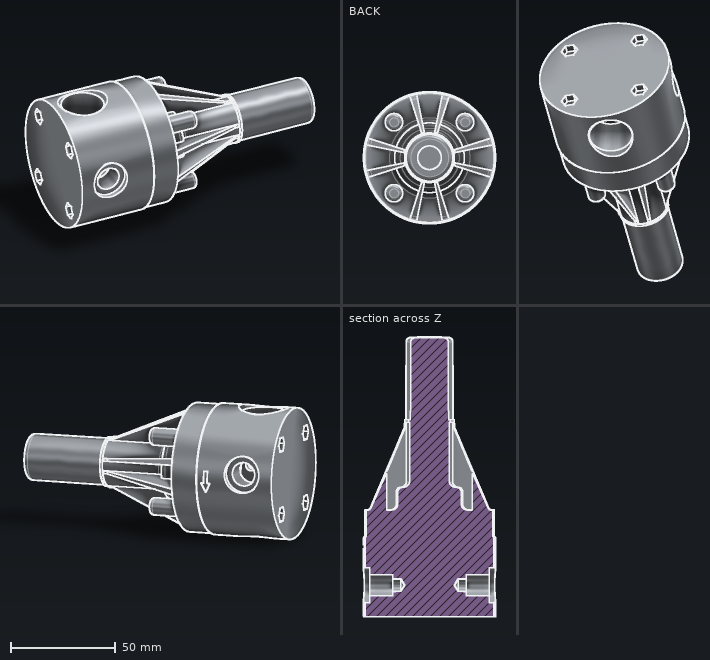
import cadquery as cq
import math


TOTAL_LENGTH = 134.62
BODY_RADIUS = 63.5 / 2
BODY_END = 38.1
SEAM_CHAMFER = 0.55
FLANGE_RADIUS = BODY_RADIUS - SEAM_CHAMFER
FLANGE_END = 51.45
FLANGE_EDGE_FILLET = 0.5
TUBE_RADIUS = 11.68
HUB_FILLET = 2.54
HUB_RADIUS = TUBE_RADIUS + 2 * HUB_FILLET
TUBE_START = 64.9
COLLAR_RADIUS = 11.95
COLLAR_START = 93.4
COLLAR_END = 94.7
STEM_BASE_RADIUS = 22.73 / 2
STEM_TOP_RADIUS = 11.25
STEM_EDGE_FILLET = 2.2
STEM_TIP_RADIUS = 11.38 / 2
STEM_TIP_HEIGHT = 0.4
STEM_END = TOTAL_LENGTH - STEM_TIP_HEIGHT

RIB_INNER_ANGLE = 11.5
RIB_OUTER_ANGLE = 17.7
RIB_TOP = 92.8
RIB_SLOPE_TOP = 90.7
RIB_TIP_RADIUS = 12.4
RIB_BASE_RADIUS = 29.4
RIB_FOOT_FILLET = 1.27
RIB_EMBED = 1.0
RIB_ROOT_RADIUS = TUBE_RADIUS - RIB_EMBED

SCREW_CIRCLE_RADIUS = 48.26 / 2
SCREW_RADIUS = 8.38 / 2
SCREW_END = 66.65
SCREW_END_FILLET = 2.0
SOCKET_ACROSS_FLATS = 6.8
SOCKET_DEPTH = 4.0

PORT_Y = 15.24
MAIN_MOUTH_RADIUS = 24.38 / 2
MAIN_BORE_RADIUS = 20.7 / 2
MAIN_FLOOR_RADIUS = 17.8 / 2
MAIN_FLOOR_Z = 12.7
COUNTERSINK_ANGLE = 82
SIDE_PORT_Z = 3.65
SIDE_MOUTH_RADIUS = 17.55 / 2
SIDE_MOUTH_DEPTH = 3.0
SIDE_BORE_RADIUS = 11.38 / 2
SIDE_BORE_DEPTH = 14.0
PILOT_RADIUS = 5.84 / 2
PILOT_DEPTH = 18.0
DRILL_POINT_ANGLE = 118

ARROW_Y = 33.7
ARROW_TAIL_Z = 4.4
ARROW_HEAD_Z = -1.4
ARROW_TIP_Z = -5.9
ARROW_SHAFT_WIDTH = 1.8
ARROW_HEAD_WIDTH = 4.4
ARROW_DEPTH = 0.5

QUARTER_TURNS = (0, 90, 180, 270)
ARC_MIDDLE = math.sqrt(0.5)


def revolve_about_y(profile):
    return profile.close().revolve(360, (0, 0, 0), (0, 1, 0))


def make_turned_body():
    """Body, flange, hub, tube, collar and stem as one turned profile."""
    hub_foot = FLANGE_END + HUB_FILLET
    hub_shoulder = TUBE_START - 2 * HUB_FILLET
    step_middle = TUBE_RADIUS + HUB_FILLET
    near = 1 - ARC_MIDDLE
    profile = (
        cq.Workplane("XY")
        .lineTo(BODY_RADIUS, 0)
        .lineTo(BODY_RADIUS, BODY_END)
        .lineTo(FLANGE_RADIUS, BODY_END + SEAM_CHAMFER)
        .lineTo(FLANGE_RADIUS, FLANGE_END - FLANGE_EDGE_FILLET)
        .threePointArc(
            (FLANGE_RADIUS - near * FLANGE_EDGE_FILLET, FLANGE_END - near * FLANGE_EDGE_FILLET),
            (FLANGE_RADIUS - FLANGE_EDGE_FILLET, FLANGE_END),
        )
        .lineTo(HUB_RADIUS + HUB_FILLET, FLANGE_END)
        .threePointArc(
            (HUB_RADIUS + near * HUB_FILLET, FLANGE_END + near * HUB_FILLET),
            (HUB_RADIUS, hub_foot),
        )
        .lineTo(HUB_RADIUS, hub_shoulder)
        .threePointArc(
            (HUB_RADIUS - near * HUB_FILLET, hub_shoulder + ARC_MIDDLE * HUB_FILLET),
            (step_middle, hub_shoulder + HUB_FILLET),
        )
        .threePointArc(
            (TUBE_RADIUS + near * HUB_FILLET, TUBE_START - ARC_MIDDLE * HUB_FILLET),
            (TUBE_RADIUS, TUBE_START),
        )
        .lineTo(TUBE_RADIUS, COLLAR_START)
        .lineTo(COLLAR_RADIUS, COLLAR_START)
        .lineTo(COLLAR_RADIUS, COLLAR_END)
        .lineTo(STEM_BASE_RADIUS, COLLAR_END)
        .lineTo(STEM_TOP_RADIUS, STEM_END - STEM_EDGE_FILLET)
        .threePointArc(
            (STEM_TOP_RADIUS - near * STEM_EDGE_FILLET, STEM_END - near * STEM_EDGE_FILLET),
            (STEM_TOP_RADIUS - STEM_EDGE_FILLET, STEM_END),
        )
        .lineTo(STEM_TIP_RADIUS, STEM_END)
        .lineTo(STEM_TIP_RADIUS, TOTAL_LENGTH)
        .lineTo(0, TOTAL_LENGTH)
    )
    return revolve_about_y(profile)


def make_rib():
    """One rib: a side profile turned through the small angle between its faces."""
    slope = math.atan2(RIB_BASE_RADIUS - RIB_TIP_RADIUS, RIB_SLOPE_TOP - FLANGE_END)
    turn = math.pi / 2 - slope
    tangent = RIB_FOOT_FILLET * math.tan(turn / 2)
    foot_start = (RIB_BASE_RADIUS - tangent * math.sin(slope), FLANGE_END + tangent * math.cos(slope))
    foot_end = (RIB_BASE_RADIUS + tangent, FLANGE_END)
    half_turn = turn / 2
    foot_middle = (
        foot_end[0] - RIB_FOOT_FILLET * math.sin(half_turn),
        FLANGE_END + RIB_FOOT_FILLET * (1 - math.cos(half_turn)),
    )
    overlap_y = FLANGE_END - RIB_EMBED
    profile = (
        cq.Workplane("XY")
        .moveTo(RIB_ROOT_RADIUS, overlap_y)
        .lineTo(RIB_ROOT_RADIUS, RIB_TOP)
        .lineTo(RIB_TIP_RADIUS, RIB_TOP)
        .lineTo(RIB_TIP_RADIUS, RIB_SLOPE_TOP)
        .lineTo(*foot_start)
        .threePointArc(foot_middle, foot_end)
        .lineTo(foot_end[0], overlap_y)
        .close()
    )
    wedge = profile.revolve(RIB_OUTER_ANGLE - RIB_INNER_ANGLE, (0, 0, 0), (0, 1, 0))
    return wedge.rotate((0, 0, 0), (0, 1, 0), RIB_INNER_ANGLE)


def add_ribs(part):
    rib = make_rib()
    for pair in (rib, rib.mirror("XY")):
        for angle in QUARTER_TURNS:
            part = part.union(pair.rotate((0, 0, 0), (0, 1, 0), angle))
    return part


def at_screws(shape):
    """Four copies of a shape on the Y axis, moved onto the screw circle."""
    reach = SCREW_CIRCLE_RADIUS * ARC_MIDDLE
    return [shape.translate((sx * reach, 0, sz * reach)) for sx in (-1, 1) for sz in (-1, 1)]


def add_screws(part):
    screw = (
        cq.Workplane("XZ", origin=(0, BODY_END, 0))
        .circle(SCREW_RADIUS)
        .extrude(BODY_END - SCREW_END)
        .faces(">Y")
        .edges()
        .fillet(SCREW_END_FILLET)
    )
    socket = (
        cq.Workplane("XZ")
        .polygon(6, SOCKET_ACROSS_FLATS / math.cos(math.pi / 6))
        .extrude(-SOCKET_DEPTH)
    )
    for copy in at_screws(screw):
        part = part.union(copy)
    for copy in at_screws(socket):
        part = part.cut(copy)
    return part


def cut_main_ports(part):
    """Countersunk, tapered ports on +Z and -Z."""
    flare = math.tan(math.radians(COUNTERSINK_ANGLE / 2))
    countersink_end = BODY_RADIUS - (MAIN_MOUTH_RADIUS - MAIN_BORE_RADIUS) / flare
    clearance = 1
    port = (
        cq.Workplane("XZ")
        .moveTo(0, MAIN_FLOOR_Z)
        .lineTo(MAIN_FLOOR_RADIUS, MAIN_FLOOR_Z)
        .lineTo(MAIN_BORE_RADIUS, countersink_end)
        .lineTo(MAIN_MOUTH_RADIUS + clearance * flare, BODY_RADIUS + clearance)
        .lineTo(0, BODY_RADIUS + clearance)
        .close()
        .revolve(360, (0, 0, 0), (0, 1, 0))
        .translate((0, PORT_Y, 0))
    )
    return part.cut(port).cut(port.mirror("XY"))


def side_drill(radius, z, depth):
    return (
        cq.Workplane("YZ", origin=(-BODY_RADIUS, PORT_Y, z))
        .circle(radius)
        .extrude(depth)
    )


def cut_side_ports(part):
    """Stepped ports on -X and +X, each with an eccentric pilot hole ending in a drill point."""
    pilot_z = SIDE_PORT_Z + SIDE_BORE_RADIUS - PILOT_RADIUS
    point_length = PILOT_RADIUS / math.tan(math.radians(DRILL_POINT_ANGLE / 2))
    drill_point = cq.Workplane(
        cq.Solid.makeCone(
            PILOT_RADIUS,
            0,
            point_length,
            cq.Vector(PILOT_DEPTH - BODY_RADIUS, PORT_Y, pilot_z),
            cq.Vector(1, 0, 0),
        )
    )
    port = (
        side_drill(SIDE_MOUTH_RADIUS, SIDE_PORT_Z, SIDE_MOUTH_DEPTH)
        .union(side_drill(SIDE_BORE_RADIUS, SIDE_PORT_Z, SIDE_BORE_DEPTH))
        .union(side_drill(PILOT_RADIUS, pilot_z, PILOT_DEPTH))
        .union(drill_point)
    )
    return part.cut(port).cut(port.mirror("YZ"))


def cut_flow_arrow(part):
    """Shallow arrow on the -X side, pointing to -Z."""
    half_shaft = ARROW_SHAFT_WIDTH / 2
    half_head = ARROW_HEAD_WIDTH / 2
    arrow = (
        cq.Workplane("YZ", origin=(-BODY_RADIUS, ARROW_Y, 0))
        .polyline(
            [
                (-half_shaft, ARROW_TAIL_Z),
                (half_shaft, ARROW_TAIL_Z),
                (half_shaft, ARROW_HEAD_Z),
                (half_head, ARROW_HEAD_Z),
                (0, ARROW_TIP_Z),
                (-half_head, ARROW_HEAD_Z),
                (-half_shaft, ARROW_HEAD_Z),
            ]
        )
        .close()
        .extrude(BODY_RADIUS / 2)
    )
    core = cq.Workplane("XZ").circle(BODY_RADIUS - ARROW_DEPTH).extrude(-BODY_END)
    return part.cut(arrow.cut(core))


result = make_turned_body()
result = add_ribs(result)
result = add_screws(result)
result = cut_main_ports(result)
result = cut_side_ports(result)
result = cut_flow_arrow(result)